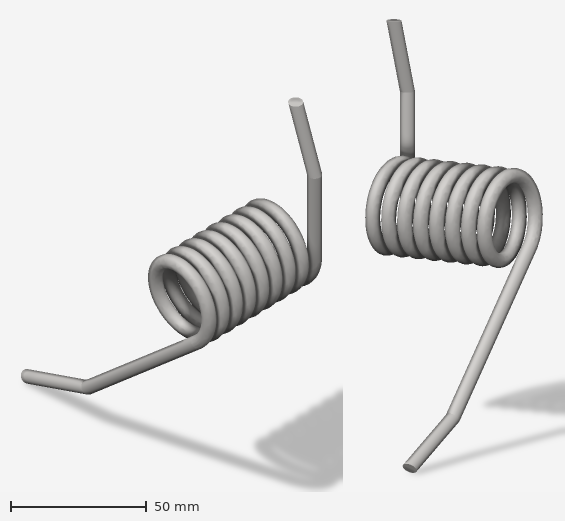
import cadquery as cq
import math

wire_diameter = 5.5
coil_radius = 16.0
coil_depth = 55.0
full_turns = 8
front_leg_angle = 46.7
front_leg_length = 80.3
rear_leg_length = 40.0
front_tip = (-79.7, -80.0)
rear_tip = (5.9, 68.3)

wire_radius = wire_diameter / 2
turns = full_turns + front_leg_angle / 360
pitch = coil_depth / turns


def make_coil():
    """Left-handed helix from the rear leg, at +X, forward to the front leg."""
    path = cq.Wire.makeHelix(pitch, coil_depth, coil_radius, lefthand=True)
    section = cq.Workplane("XZ").center(coil_radius, 0).circle(wire_radius)
    coil = section.sweep(cq.Workplane(path), isFrenet=True)
    axis_to_front = coil.rotate((0, 0, 0), (1, 0, 0), 90)
    return axis_to_front.translate((0, coil_depth, 0))


def make_leg(start, direction, length, tip):
    """Straight wire to a bend, then a slanted wire whose end faces are parallel to the bend plane."""
    bend = start + direction * length

    def section(centre):
        return cq.Wire.makeCircle(wire_radius, centre, direction)

    straight = cq.Solid.makeCylinder(wire_radius, length, start, direction)
    slanted = cq.Solid.makeLoft([section(bend), section(tip)], True)
    return cq.Workplane(straight).union(cq.Workplane(slanted), clean=False).solids()


def make_front_leg():
    """Leg leaving the coil along its tangent, down and towards -X."""
    angle = math.radians(front_leg_angle)
    start = cq.Vector(math.cos(angle), 0, -math.sin(angle)) * coil_radius
    tangent = cq.Vector(-math.sin(angle), 0, -math.cos(angle))
    tip = cq.Vector(front_tip[0], 0, front_tip[1])
    return make_leg(start, tangent, front_leg_length, tip)


def make_rear_leg():
    """Leg rising vertically from the +X side of the coil."""
    start = cq.Vector(coil_radius, coil_depth, 0)
    tip = cq.Vector(rear_tip[0], coil_depth, rear_tip[1])
    return make_leg(start, cq.Vector(0, 0, 1), rear_leg_length, tip)


coil = make_coil()
front_leg = make_front_leg()
rear_leg = make_rear_leg()

result = cq.Compound.makeCompound([coil.val(), front_leg.val(), rear_leg.val()])